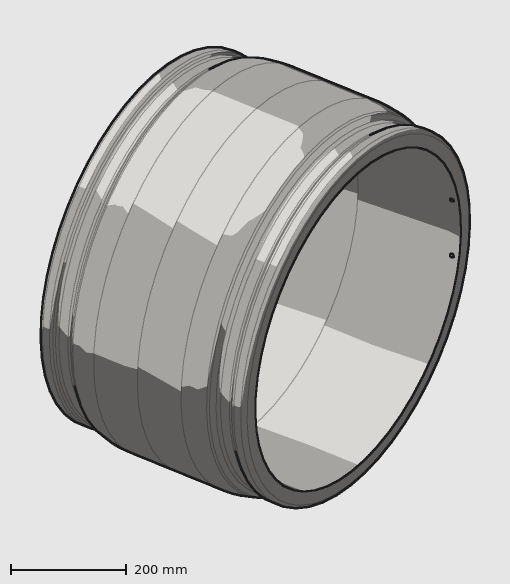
import cadquery as cq
import math

length = 430.0
barrel_radius = 362.0
bore_radius = 316.0

barrel_half_length = 91.0
crown_end = 140.0
crown_drop = 7.0
flank_angle = math.radians(45)
flank_round = 10.0

neck_radius = 341.0
bead_radius = 349.0
bead_inner_end = 192.5
bead_flank_end = 178.0
bead_flank_angle = math.radians(45)
end_round = 8.0

hole_diameter = 7.0
hole_inset = 15.0
hole_angle = 10.9

half_length = length / 2


def half_sleeve():
    """Revolve the +X half of the wall about X."""
    crown_run = crown_end - barrel_half_length
    crown_curve = (crown_run**2 + crown_drop**2) / (2 * crown_drop)
    half_sweep = math.asin(crown_run / crown_curve) / 2
    crown_mid = (
        barrel_half_length + crown_curve * math.sin(half_sweep),
        barrel_radius - crown_curve * (1 - math.cos(half_sweep)),
    )
    crown_edge_radius = barrel_radius - crown_drop

    crown_slope = 2 * half_sweep
    turn_dx = flank_round * (math.sin(flank_angle) - math.sin(crown_slope))
    turn_dr = flank_round * (math.cos(crown_slope) - math.cos(flank_angle))
    turn_mid_angle = (flank_angle + crown_slope) / 2
    turn_mid = (
        crown_end + flank_round * (math.sin(turn_mid_angle) - math.sin(crown_slope)),
        crown_edge_radius - flank_round * (math.cos(crown_slope) - math.cos(turn_mid_angle)),
    )
    flank_top = (crown_end + turn_dx, crown_edge_radius - turn_dr)

    root_rise = flank_round * (1 - math.cos(flank_angle))
    flank_drop = flank_top[1] - neck_radius - root_rise
    flank_bottom = (flank_top[0] + flank_drop / math.tan(flank_angle), neck_radius + root_rise)
    neck_start = flank_bottom[0] + flank_round * math.sin(flank_angle)
    root_mid = (
        neck_start - flank_round * math.sin(flank_angle / 2),
        neck_radius + flank_round * (1 - math.cos(flank_angle / 2)),
    )

    bead_height = bead_radius - neck_radius
    bead_run = bead_inner_end - bead_flank_end
    half_turn = math.tan(bead_flank_angle / 2)
    bead_round = (bead_run - bead_height / math.tan(bead_flank_angle)) / (2 * half_turn)
    bead_dx = bead_round * math.sin(bead_flank_angle)
    bead_dr = bead_round * (1 - math.cos(bead_flank_angle))
    mid_dx = bead_round * math.sin(bead_flank_angle / 2)
    mid_dr = bead_round * (1 - math.cos(bead_flank_angle / 2))

    end_mid_offset = end_round * (1 - math.cos(math.radians(45)))
    profile = (
        cq.Workplane("XZ")
        .moveTo(0, bore_radius)
        .lineTo(0, barrel_radius)
        .lineTo(barrel_half_length, barrel_radius)
        .threePointArc(crown_mid, (crown_end, crown_edge_radius))
        .threePointArc(turn_mid, flank_top)
        .lineTo(*flank_bottom)
        .threePointArc(root_mid, (neck_start, neck_radius))
        .lineTo(bead_flank_end, neck_radius)
        .threePointArc(
            (bead_flank_end + mid_dx, neck_radius + mid_dr),
            (bead_flank_end + bead_dx, neck_radius + bead_dr),
        )
        .lineTo(bead_inner_end - bead_dx, bead_radius - bead_dr)
        .threePointArc(
            (bead_inner_end - mid_dx, bead_radius - mid_dr),
            (bead_inner_end, bead_radius),
        )
        .lineTo(half_length - end_round, bead_radius)
        .threePointArc(
            (half_length - end_mid_offset, bead_radius - end_mid_offset),
            (half_length, bead_radius - end_round),
        )
        .lineTo(half_length, bore_radius)
        .close()
    )
    return profile.revolve(360, (0, 0, 0), (1, 0, 0))


def bead_hole(x, angle):
    """Radial cutter at an angle from +Y towards +Z, running from inside the bore to outside."""
    cutter = cq.Solid.makeCylinder(
        hole_diameter / 2,
        barrel_radius - bore_radius / 2,
        cq.Vector(x, bore_radius / 2, 0),
        cq.Vector(0, 1, 0),
    )
    return cutter.rotate(cq.Vector(0, 0, 0), cq.Vector(1, 0, 0), angle)


half = half_sleeve()
result = half.union(half.mirror("YZ")).clean()
hole_x = half_length - hole_inset
for x in (-hole_x, hole_x):
    for angle in (-hole_angle, hole_angle):
        result = result.cut(cq.Workplane(obj=bead_hole(x, angle)))